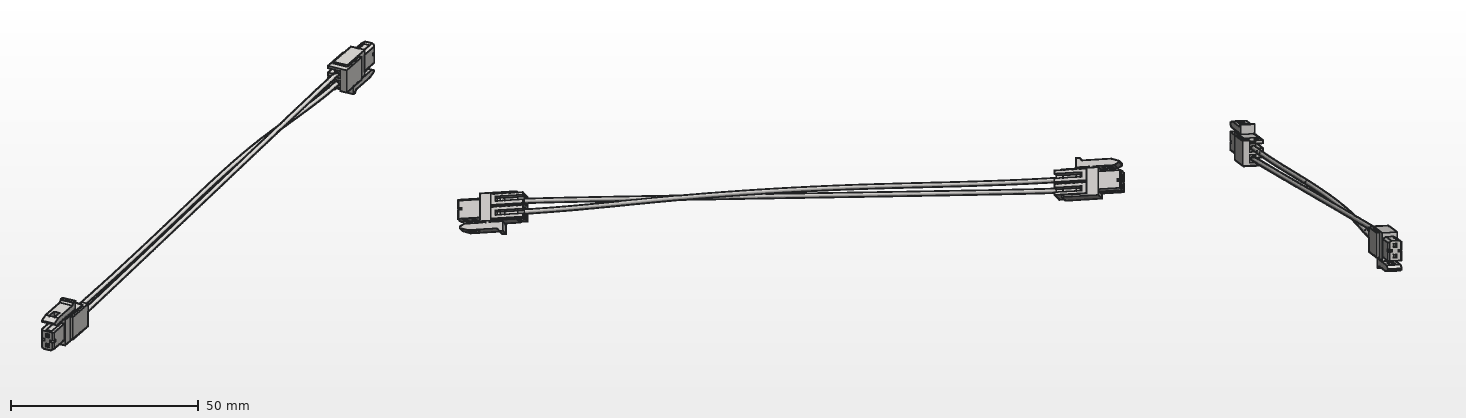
import cadquery as cq


length = 182.3
width = 6.7
height = 11.1

housing_length = 18.0
housing_width = 5.7
housing_height = 10.5
body_height = 7.7
core_width = 4.2
plug_width = 3.8
core_x = (housing_width - width) / 2
side_shift = width - housing_width
tip_y = -length / 2
floor_z = -height / 2
left_x = core_x - housing_width / 2

plug_bottom = 1.1
plug_top = 6.5
plug_middle = (plug_bottom + plug_top) / 2
plug_chamfer_width = 1.0
plug_chamfer_height = 0.5
tip_bevel = 0.4
tip_notch_length = 1.1
tip_notch_height = 0.5
tip_notch_depth = 1.1
core_start = 6.2
rear_step_start = 16.2
floor_step_height = 0.5
top_step_height = 0.4
ear_start = 9.3
ear_groove_height = 0.5
rear_notch_width = 1.6
rear_notch_depth = 0.5

latch_tip = 0.5
latch_end = 12.4
latch_bottom = 8.0
latch_top = 9.8
latch_nose_blunt = 0.4
latch_nose_top_run = 2.2
latch_nose_bottom_run = 1.3
peg_thickness = 1.1
peg_root_chamfer = 0.5
post_start = 7.7
post_thickness = 1.1
latch_window_start = 2.7
latch_window_length = 2.7
latch_window_width = 1.6

circuit_spacing = 3.0
terminal_height = 2.2
contact_width = 1.6
contact_start = 1.1
contact_end = 11.5
wire_crimp_width = 1.0
wire_crimp_start = 12.5
sleeve_crimp_start = 16.2
terminal_end = housing_length

pin_opening = 1.0
window_start = 10.5
window_height = 1.3

wire_diameter = 1.3
wire_offset = -0.2
wire_lead = 9.1
bow_x = -1.3
bow_y = 34.6
bow_z = 1.0
crest_x = -0.5
crest_y = -16.4
crest_z = 1.3

wire_low = plug_middle - circuit_spacing / 2
wire_high = plug_middle + circuit_spacing / 2


def block(depth_start, depth_end, bottom, top, x_size, x_centre=core_x):
    """Box of the -Y connector, given by its depth range, height range and place along X."""
    base_point = (x_centre, tip_y + depth_start, floor_z + bottom)
    base = cq.Workplane("XY", origin=base_point)
    return base.box(x_size, depth_end - depth_start, top - bottom, centered=(True, False, False))


def side_profile(points, x_size):
    """Prism of the -Y connector: a (depth, height) outline extruded along X about the core centre."""
    placed = [(tip_y + depth, floor_z + level) for depth, level in points]
    base = cq.Workplane("YZ", origin=(core_x, 0, 0))
    return base.polyline(placed).close().extrude(x_size / 2, both=True)


def make_plug():
    """Plug with bevelled lower long edges, a bevelled tip and a notch in each side of the tip."""
    bottom = floor_z + plug_bottom
    bevel_top = bottom + plug_chamfer_height
    top = floor_z + plug_top
    half_width = plug_width / 2
    half_bottom = half_width - plug_chamfer_width
    section = [
        (core_x - half_bottom, bottom),
        (core_x + half_bottom, bottom),
        (core_x + half_width, bevel_top),
        (core_x + half_width, top),
        (core_x - half_width, top),
        (core_x - half_width, bevel_top),
    ]
    plug = cq.Workplane("XZ", origin=(0, tip_y, 0)).polyline(section).close().extrude(-ear_start)
    plug = plug.faces("<Y").edges("|Z").chamfer(tip_bevel)
    for side in (-1, 1):
        notch_x = core_x + side * (plug_width - tip_notch_depth) / 2
        plug = plug.cut(block(0, tip_notch_length, plug_middle - tip_notch_height / 2,
                              plug_middle + tip_notch_height / 2, tip_notch_depth, notch_x))
    return plug


def make_shell():
    """Core with lowered rear steps, side ears, a groove between the ribs of the -X ear and a rear notch."""
    ear_top = body_height - top_step_height
    core = side_profile([
        (core_start, 0),
        (rear_step_start, 0),
        (rear_step_start, floor_step_height),
        (housing_length, floor_step_height),
        (housing_length, ear_top),
        (rear_step_start, ear_top),
        (rear_step_start, body_height),
        (core_start, body_height),
    ], core_width)
    ears = block(ear_start, housing_length, floor_step_height, ear_top, housing_width)
    ear_width = (housing_width - core_width) / 2
    groove = block(ear_start, housing_length, plug_middle - ear_groove_height / 2,
                   plug_middle + ear_groove_height / 2, ear_width, left_x + ear_width / 2)
    notch = block(rear_step_start, housing_length, ear_top - rear_notch_depth, ear_top, rear_notch_width)
    return core.union(ears).cut(groove).cut(notch)


def make_latch():
    """Latch arm with a wedge nose, a window and a release peg, standing on a post."""
    nose_level = (latch_bottom + latch_top) / 2
    peg_start = latch_end - peg_thickness
    arm = side_profile([
        (latch_tip, nose_level - latch_nose_blunt / 2),
        (latch_tip + latch_nose_bottom_run, latch_bottom),
        (latch_end, latch_bottom),
        (latch_end, housing_height),
        (peg_start, housing_height),
        (peg_start, latch_top + peg_root_chamfer),
        (peg_start - peg_root_chamfer, latch_top),
        (latch_tip + latch_nose_top_run, latch_top),
        (latch_tip, nose_level + latch_nose_blunt / 2),
    ], plug_width)
    window = block(latch_window_start, latch_window_start + latch_window_length,
                   latch_bottom, latch_top, latch_window_width)
    post = block(post_start, post_start + post_thickness, body_height, latch_bottom, plug_width)
    return arm.cut(window).union(post)


def make_housing():
    """Complete housing: plug, shell and latch, opened up for the two terminals."""
    housing = make_plug().union(make_shell()).union(make_latch())
    window_depth = (housing_width - contact_width) / 2
    for side in (-1, 1):
        circuit = plug_middle + side * circuit_spacing / 2
        bottom = circuit - terminal_height / 2
        top = circuit + terminal_height / 2
        pin_hole = block(0, contact_start, circuit - pin_opening / 2, circuit + pin_opening / 2, pin_opening)
        cavity = block(contact_start, housing_length, bottom, top, contact_width)
        window_bottom = bottom if side < 0 else top - window_height
        window = block(window_start, housing_length, window_bottom, window_bottom + window_height,
                       window_depth, left_x + window_depth / 2)
        housing = housing.cut(pin_hole).cut(cavity).cut(window)
    return housing


def make_terminal(level):
    """Terminal centred at the given height: contact box, narrow wire crimp, full-width sleeve crimp."""
    half_widths = [
        (contact_start, contact_width / 2),
        (contact_end, contact_width / 2),
        (wire_crimp_start, wire_crimp_width / 2),
        (sleeve_crimp_start, wire_crimp_width / 2),
        (sleeve_crimp_start, contact_width / 2),
        (terminal_end, contact_width / 2),
    ]
    left = [(core_x - half, tip_y + depth) for depth, half in half_widths]
    right = [(core_x + half, tip_y + depth) for depth, half in reversed(half_widths)]
    base = cq.Workplane("XY", origin=(0, 0, floor_z + level - terminal_height / 2))
    return base.polyline(left + right).close().extrude(terminal_height)


def to_far_end(body):
    """Copy of a -Y connector body, turned over and moved to the +Y end."""
    return body.rotate((0, 0, 0), (1, 0, 0), 180).translate((side_shift, 0, 0))


def wire_end(level):
    """Point where a wire meets the back of the -Y terminal at the given height."""
    return cq.Vector(core_x + wire_offset, tip_y + terminal_end, floor_z + level)


def far_wire_end(level):
    """Matching point on the +Y connector."""
    near = wire_end(level)
    return cq.Vector(near.x + side_shift, -near.y, -near.z)


def sweep_wire(path_edge, start):
    """Round wire swept along a path that leaves its start point along +Y."""
    path = cq.Workplane("XY").newObject([cq.Wire.assembleEdges([path_edge])])
    return cq.Workplane("XZ", origin=start.toTuple()).circle(wire_diameter / 2).sweep(path)


def make_straight_wire():
    """Wire joining the lower terminal at -Y to the upper one at +Y in an almost straight run."""
    start = wire_end(wire_low)
    end = far_wire_end(wire_low)
    lead = cq.Vector(0, wire_lead, 0)
    return sweep_wire(cq.Edge.makeBezier([start, start + lead, end - lead, end]), start)


def make_bowed_wire():
    """Wire joining the two inner terminals, bowed towards -X to pass beside the straight wire."""
    start = wire_end(wire_high)
    end = far_wire_end(wire_high)
    points = [start, cq.Vector(crest_x, crest_y, crest_z), cq.Vector(bow_x, bow_y, bow_z), end]
    along_y = cq.Vector(0, 1, 0)
    return sweep_wire(cq.Edge.makeSpline(points, tangents=[along_y, along_y]), start)


near_housing = make_housing()
near_terminals = [make_terminal(level) for level in (wire_low, wire_high)]
housings = [near_housing, to_far_end(near_housing)]
terminals = near_terminals + [to_far_end(terminal) for terminal in near_terminals]
wires = [make_straight_wire(), make_bowed_wire()]

result = cq.Compound.makeCompound([body.solids().val() for body in housings + terminals + wires])